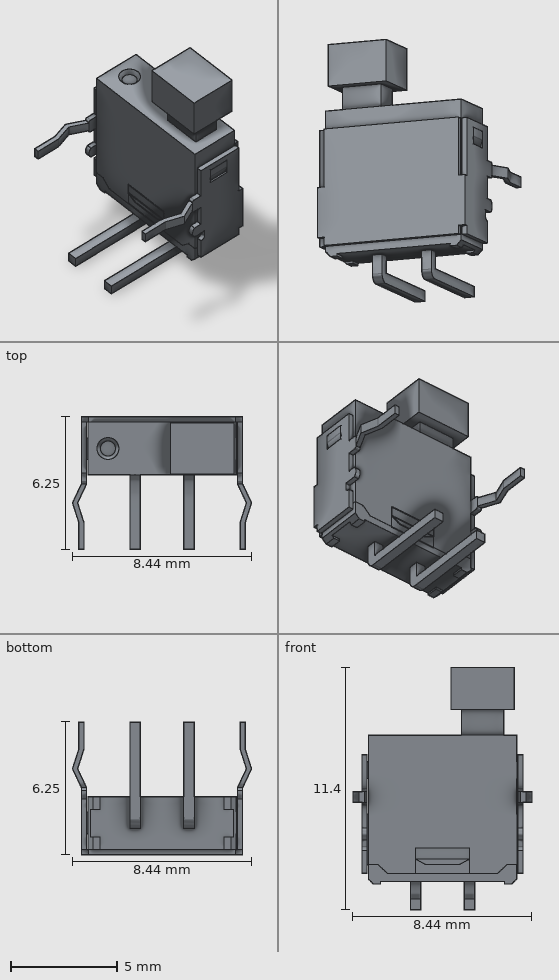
import cadquery as cq


housing_width = 7.0
housing_depth = 2.49
housing_top = 8.23
half_width = housing_width / 2
mid_y = housing_depth / 2

parting_end_z = 2.13
parting_mid_z = 1.71
parting_end_x = 3.03
parting_mid_x = 2.6

dimple_x = -2.55
dimple_top_radius = 0.51
dimple_floor_radius = 0.35
dimple_depth = 0.21

window_top_z = 2.93
lug_top_z = 2.39
window_half_width = 1.27
lug_bottom_half_width = 0.78
window_depth = 0.05
tongue_thickness = 0.25

foot_z = 1.21
foot_height = 0.11
foot_chamfer = 0.24
foot_inner_x = 2.91
foot_channel_depth = 1.3

button_x = 1.89
button_size = (3.0, 2.4, 2.0)
stem_size = (2.0, 1.3)
button_top = 11.43

pin_pitch = 2.54
pin_thickness = 0.5
pin_bend_radius = 0.4
tip_y = -3.51

sheet = 0.25
bracket_width = 7.6
bracket_half_width = bracket_width / 2
bracket_top = 7.32
bracket_bottom = 1.71
side_front_y = 0.1
back_half_width = 3.46
bend_bottom_z = 2.11
bend_top_z = 4.53
tab_front_y = -0.42
lead_tab_z = (4.94, 5.69)
lead_tab_radius = 0.1
stop_tab_z = (3.28, 3.86)
stop_tab_bulge = 0.13
notch_back_y = 0.34
notch_bottom_z = 2.79
notch_radius = 0.2
lead_z = (5.06, 5.57)
lead_bend_y = -1.31
lead_bend_shift = 0.42
lead_tail_y = -2.24
lead_tail_shift = 0.13

catch_y = (0.72, 1.75)
catch_z = (6.18, 6.98)
catch_slope_z = 6.56
catch_slope_depth = 0.1


def box(x, y, z):
    """Box between the (low, high) limits given for each axis."""
    return (
        cq.Workplane("XY")
        .box(x[1] - x[0], y[1] - y[0], z[1] - z[0], centered=False)
        .translate((x[0], y[0], z[0]))
    )


def front_prism(points, y_start, y_end):
    """Prism with an XZ outline, running along Y."""
    return cq.Workplane("XZ", origin=(0, y_start, 0)).polyline(points).close().extrude(y_start - y_end)


def mirrored(shape):
    """The same shape on the +X side."""
    return shape.mirror("YZ")


def base_tongue():
    """Tongue rising behind the window, with the lug that fills the lower part of the window."""
    tongue = box(
        (-window_half_width, window_half_width),
        (window_depth, window_depth + tongue_thickness),
        (parting_mid_z, window_top_z),
    )
    lug_outline = [
        (-window_half_width, lug_top_z),
        (-lug_bottom_half_width, parting_end_z),
        (lug_bottom_half_width, parting_end_z),
        (window_half_width, lug_top_z),
    ]
    return tongue.union(front_prism(lug_outline, 0, window_depth))


def base_block():
    """Base outline up to the parting edge, standing on four corner feet."""
    outline = [
        (-half_width, parting_end_z),
        (-parting_end_x, parting_end_z),
        (-parting_mid_x, parting_mid_z),
        (parting_mid_x, parting_mid_z),
        (parting_end_x, parting_end_z),
        (half_width, parting_end_z),
        (half_width, foot_z + foot_chamfer),
        (half_width - foot_chamfer, foot_z),
        (foot_chamfer - half_width, foot_z),
        (-half_width, foot_z + foot_chamfer),
    ]
    block = front_prism(outline, 0, housing_depth)
    foot_gap_z = (foot_z, foot_z + foot_height)
    channel_y = (mid_y - foot_channel_depth / 2, mid_y + foot_channel_depth / 2)
    block = block.cut(box((-foot_inner_x, foot_inner_x), (0, housing_depth), foot_gap_z))
    return block.cut(box((-half_width, half_width), channel_y, foot_gap_z))


def side_catch():
    """Catch on the -X side: flush with the bracket, its lower part sloping inward."""
    outer_x = -bracket_half_width
    outline = [
        (-half_width, catch_z[1]),
        (outer_x, catch_z[1]),
        (outer_x, catch_slope_z),
        (outer_x + catch_slope_depth, catch_z[0]),
        (-half_width, catch_z[0]),
    ]
    return front_prism(outline, *catch_y)


def make_base():
    return base_block().union(base_tongue())


def make_housing():
    body = box((-half_width, half_width), (0, housing_depth), (foot_z, housing_top))
    below_parting = base_block().union(
        box((-half_width, half_width), (0, housing_depth), (foot_z, foot_z + foot_chamfer))
    )
    window_opening = box(
        (-window_half_width, window_half_width), (0, window_depth), (lug_top_z, window_top_z)
    )
    dimple = cq.Workplane(
        cq.Solid.makeCone(
            dimple_floor_radius,
            dimple_top_radius,
            dimple_depth,
            pnt=cq.Vector(dimple_x, mid_y, housing_top - dimple_depth),
        )
    )
    body = body.cut(below_parting).cut(base_tongue()).cut(window_opening).cut(dimple)
    return body.union(side_catch()).union(mirrored(side_catch()))


def make_button():
    width, depth, height = button_size
    cap_bottom = button_top - height
    cap = cq.Workplane("XY", origin=(button_x, mid_y, cap_bottom)).rect(width, depth).extrude(height)
    stem = (
        cq.Workplane("XY", origin=(button_x, mid_y, housing_top))
        .rect(*stem_size)
        .extrude(cap_bottom - housing_top)
    )
    return cap.union(stem)


def make_pin(x):
    """Square pin that leaves the base downward and turns to the front."""
    x_limits = (x - pin_thickness / 2, x + pin_thickness / 2)
    back_y = mid_y + pin_thickness / 2
    upright = box(x_limits, (back_y - pin_thickness, back_y), (0, foot_z + foot_height))
    tail = box(x_limits, (tip_y, back_y), (0, pin_thickness))
    return upright.union(tail).edges("|X and >Y and <Z").fillet(pin_bend_radius)


def bracket_lead():
    """Springy lead on the -X side, kinked outward and ending nearly in line with the sheet."""
    outer_x = -bracket_half_width
    outer_edge = [
        (outer_x, tab_front_y),
        (outer_x - lead_bend_shift, lead_bend_y),
        (outer_x - lead_tail_shift, lead_tail_y),
        (outer_x - lead_tail_shift, tip_y),
    ]
    inner_edge = [(x + sheet, y) for x, y in reversed(outer_edge)]
    return (
        cq.Workplane("XY", origin=(0, 0, lead_z[0]))
        .polyline(outer_edge + inner_edge)
        .close()
        .extrude(lead_z[1] - lead_z[0])
    )


def stop_tab():
    """Front tab on the -X side with an arched end."""
    bottom_z, top_z = stop_tab_z
    arc_start_y = tab_front_y + stop_tab_bulge
    return (
        cq.Workplane("YZ", origin=(-bracket_half_width, 0, 0))
        .moveTo(notch_back_y, bottom_z)
        .lineTo(arc_start_y, bottom_z)
        .threePointArc((tab_front_y, (bottom_z + top_z) / 2), (arc_start_y, top_z))
        .lineTo(notch_back_y, top_z)
        .close()
        .extrude(sheet)
    )


def bracket_side():
    """Side sheet on the -X side with its two front tabs, notch, catch window and lead."""
    x = (-bracket_half_width, sheet - bracket_half_width)
    side = box(x, (side_front_y, housing_depth), (bracket_bottom, bracket_top))
    side = side.union(box(x, (housing_depth, housing_depth + sheet), (bend_bottom_z, bend_top_z)))
    notch = box(x, (side_front_y, notch_back_y), (notch_bottom_z, stop_tab_z[0]))
    side = side.cut(notch.edges("|X and >Y and <Z").fillet(notch_radius))
    lead_tab = box(x, (tab_front_y, notch_back_y), lead_tab_z)
    side = side.union(lead_tab.edges("|X and <Y").fillet(lead_tab_radius))
    side = side.union(stop_tab())
    return side.cut(box(x, catch_y, catch_z)).union(bracket_lead())


def make_bracket():
    back_y = (housing_depth, housing_depth + sheet)
    back = box((-back_half_width, back_half_width), back_y, (bracket_bottom, bracket_top))
    bend_x = (-bracket_half_width, bracket_half_width)
    back = back.union(box(bend_x, back_y, (bend_bottom_z, bend_top_z)))
    return back.union(bracket_side()).union(mirrored(bracket_side()))


housing = make_housing()
base = make_base()
button = make_button()
bracket = make_bracket()
pins = [make_pin(side * pin_pitch / 2) for side in (-1, 1)]

result = cq.Compound.makeCompound(
    [housing.val(), base.val(), button.val(), bracket.val(), *[pin.val() for pin in pins]]
)